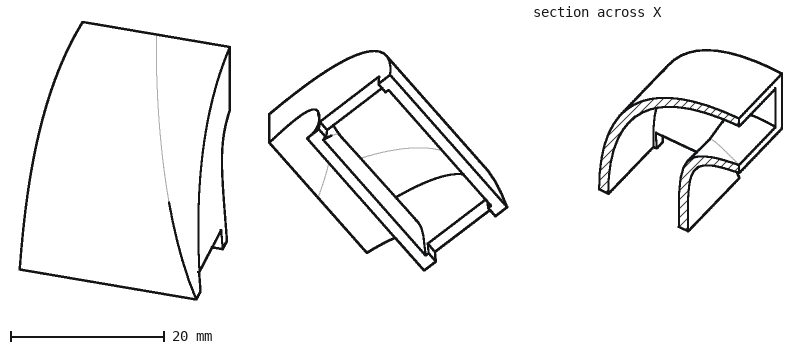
import cadquery as cq

inlet_width = 24.0
inlet_depth = 14.0

outlet_width = 20.0
outlet_height = 10.0
outlet_y = 22.0
outlet_top = 25.0
outlet_bottom = outlet_top - outlet_height

wall = 1.5

lip_depth = 2.0
slot_depth = inlet_depth - 2 * lip_depth
slot_height = 3.0

inlet_handle = 11.0
bend_axis_height = 6.6

inlet_side_share = 0.36
outlet_side_share = 0.55

inner_twist_climb = 1.4


def inlet_points(inset):
    """Six points around the inlet: four corners and the slot corners the twisted faces start from."""
    half = inlet_width / 2 - inset
    front = inset
    back = inlet_depth - inset
    return [
        (-half, front, 0),
        (half, front, 0),
        (half, lip_depth, 0),
        (half, back, 0),
        (-half, back, 0),
        (-half, inlet_depth - lip_depth, 0),
    ]


def outlet_points(inset):
    """Six points around the outlet: four corners and the middles of its top and bottom edges."""
    half = outlet_width / 2 - inset
    top = outlet_top - inset
    bottom = outlet_bottom + inset
    return [
        (-half, outlet_y, top),
        (0, outlet_y, top),
        (half, outlet_y, top),
        (half, outlet_y, bottom),
        (0, outlet_y, bottom),
        (-half, outlet_y, bottom),
    ]


def long_edge(start, end, climb):
    """Curve from an inlet point to an outlet point, rising by the climb after its outlet handle."""
    side_travel = end[0] - start[0]
    outlet_handle = end[2] - bend_axis_height
    controls = [
        start,
        (start[0] + inlet_side_share * side_travel, start[1], inlet_handle),
        (start[0] + outlet_side_share * side_travel, outlet_y - outlet_handle, end[2] - climb),
        end,
    ]
    return cq.Edge.makeBezier([cq.Vector(*point) for point in controls])


def bent_body(inset):
    """Solid bend whose end outlines lie inside the outer ones by the inset."""
    starts = inlet_points(inset)
    ends = outlet_points(inset)
    climbs = (0, 0, 0, 0, inner_twist_climb, 0)
    edges = [long_edge(start, end, climb) for start, end, climb in zip(starts, ends, climbs)]
    faces = [
        cq.Face.makeRuledSurface(edge, following)
        for edge, following in zip(edges, edges[1:] + edges[:1])
    ]
    for outline in (starts, ends):
        boundary = cq.Wire.makePolygon([cq.Vector(*point) for point in outline], close=True)
        faces.append(cq.Face.makeFromWires(boundary))
    shell = cq.Shell.makeShell(faces)
    return cq.Workplane(obj=cq.Solid.makeSolid(shell).fix())


def inlet_slot():
    """Box that opens both sides of the inlet between the lips."""
    return cq.Workplane("XY").box(
        inlet_width, slot_depth, slot_height, centered=(True, True, False)
    ).translate((0, inlet_depth / 2, 0))


result = bent_body(0).cut(bent_body(wall)).cut(inlet_slot())